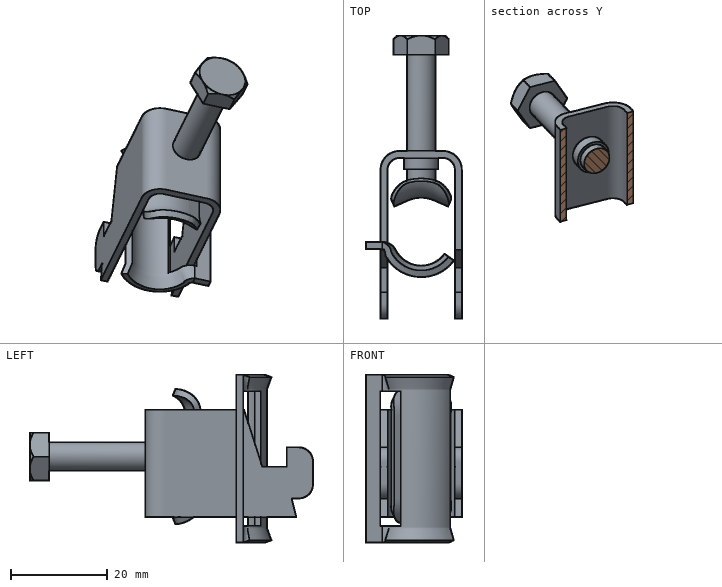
import cadquery as cq
import math


sheet = 1.5

bracket_width = 17.0
bracket_length = 35.0
bracket_top = 9.8
bracket_bottom = -12.6
back_bend_radius = 4.0
collar_diameter = 7.2
collar_height = 2.35
slope_start = 20.6
slope_end = 24.4
hook_start = 29.5
notch_floor = -2.1
hook_top = 1.95
hook_bottom = -8.75
hook_radius = 3.0
heel_top = 30.55
heel_bottom = 31.5

shank_diameter = 6.0
head_flats = 10.0
head_height = 4.0
head_end = 24.0

saddle_crest = -9.8
saddle_radius = 7.0
saddle_arc_angle = 24.0
saddle_wing = 3.0
saddle_straight_half = 8.9
curl_inner_radius = 4.1
curl_outer_radius = curl_inner_radius + sheet
curl_angle = 68.0
curl_axis_y = saddle_crest + curl_outer_radius
saddle_axis_y = saddle_crest - saddle_radius
corner_reach = 4.9
corner_start_angle = 16.0

jaw_center_y = -17.9
jaw_center_z = -0.45
jaw_inner_radius = 6.0
jaw_outer_radius = jaw_inner_radius + sheet
jaw_half_height = 17.5
jaw_right_angle = 54.0
jaw_left_angle = 63.0
window_angle = 35.0
window_half_height = 14.0
flare_angle = 20.0
flare_start = 14.27
flare_radius = 0.9
strip_edge_x = -11.5
strip_inner_x = -bracket_width / 2
neck_radius = 1.55
neck_axis_distance = jaw_outer_radius + neck_radius
neck_axis_x = -neck_axis_distance * math.sin(math.radians(jaw_left_angle))
neck_axis_y = -neck_axis_distance * math.cos(math.radians(jaw_left_angle))
strip_y = neck_axis_y + neck_radius


def bracket_block(half_width, back_y, corner_radius):
    """Block as tall as the bracket, with both rear corners rounded."""
    height = bracket_top - bracket_bottom
    block = cq.Workplane("XY").box(2 * half_width, bracket_length, height, centered=(True, False, False))
    block = block.edges("|Z and >Y").fillet(corner_radius)
    return block.translate((0, back_y - bracket_length, bracket_bottom))


def make_bracket():
    """U-bent sheet with hooked legs and a collar around the bolt hole."""
    half_width = bracket_width / 2
    outside = bracket_block(half_width, 0, back_bend_radius)
    inside = bracket_block(half_width - sheet, -sheet, back_bend_radius - sheet)
    leg_outline = (
        cq.Workplane("YZ")
        .moveTo(0, bracket_bottom)
        .lineTo(0, bracket_top)
        .lineTo(-slope_start, bracket_top)
        .lineTo(-slope_end, notch_floor)
        .lineTo(-hook_start, notch_floor)
        .lineTo(-hook_start, hook_top)
        .lineTo(-bracket_length + hook_radius, hook_top)
        .radiusArc((-bracket_length, hook_top - hook_radius), -hook_radius)
        .lineTo(-bracket_length, hook_bottom + hook_radius)
        .radiusArc((-bracket_length + hook_radius, hook_bottom), -hook_radius)
        .lineTo(-heel_top, hook_bottom)
        .lineTo(-heel_bottom, bracket_bottom)
        .close()
        .extrude(half_width, both=True)
    )
    collar = cq.Workplane("XZ").circle(collar_diameter / 2).extrude(sheet + collar_height)
    hole = cq.Workplane("XZ").circle(shank_diameter / 2).extrude(sheet + collar_height)
    return outside.cut(inside).intersect(leg_outline).union(collar).cut(hole)


def make_bolt():
    """Hexagon-head bolt whose flat tip rests on the crest of the saddle."""
    tip_y = saddle_crest + sheet
    head_base = head_end - head_height
    corner_radius = head_flats / math.sqrt(3)
    chamfer = corner_radius - head_flats / 2
    shank = cq.Workplane("XZ", origin=(0, head_base, 0)).circle(shank_diameter / 2).extrude(head_base - tip_y)
    head_plane = cq.Workplane("XZ", origin=(0, head_end, 0))
    hexagon = head_plane.polygon(6, 2 * corner_radius).extrude(head_height)
    turned = head_plane.circle(corner_radius).extrude(head_height).faces(">Y").chamfer(chamfer)
    return hexagon.intersect(turned).union(shank)


def curl_point(radius, degrees, end=1):
    """(Y, Z) of a point on the curl at the +Z end (end = 1) or the -Z end (end = -1)."""
    angle = math.radians(degrees)
    return curl_axis_y - radius * math.cos(angle), end * (saddle_straight_half + radius * math.sin(angle))


def saddle_profile():
    """Lengthwise section of the saddle: a straight middle between two curled ends."""
    half_curl = curl_angle / 2
    return (
        cq.Workplane("YZ")
        .moveTo(*curl_point(curl_outer_radius, 0, -1))
        .lineTo(*curl_point(curl_outer_radius, 0))
        .threePointArc(curl_point(curl_outer_radius, half_curl), curl_point(curl_outer_radius, curl_angle))
        .lineTo(*curl_point(curl_inner_radius, curl_angle))
        .threePointArc(curl_point(curl_inner_radius, half_curl), curl_point(curl_inner_radius, 0))
        .lineTo(*curl_point(curl_inner_radius, 0, -1))
        .threePointArc(
            curl_point(curl_inner_radius, half_curl, -1), curl_point(curl_inner_radius, curl_angle, -1)
        )
        .lineTo(*curl_point(curl_outer_radius, curl_angle, -1))
        .threePointArc(curl_point(curl_outer_radius, half_curl, -1), curl_point(curl_outer_radius, 0, -1))
        .close()
    )


def turn_about_saddle_axis(item, degrees):
    """Rotate a shape about the Z-parallel axis around which the saddle is bent."""
    return item.rotate(cq.Vector(0, saddle_axis_y, 0), cq.Vector(0, saddle_axis_y, 1), degrees)


def saddle_corner_waste():
    """Material outside the rounded corner at +X +Z; the cut stays square to the curled sheet.

    On the flattened sheet the corner is a quarter ellipse, followed by radial sections along the curl.
    """
    section_count = 9
    margin = 1.2
    section_length = 8.0
    inner = curl_inner_radius - margin
    outer = curl_outer_radius + margin
    sections = []
    for index in range(section_count):
        turn = math.radians(90) * index / (section_count - 1)
        angle = corner_start_angle + (curl_angle - corner_start_angle) * math.sin(turn)
        reach = saddle_wing - corner_reach * (1 - math.cos(turn))
        start = max(reach, 0)
        stop = start + section_length
        points = []
        for x, radius in ((start, inner), (stop, inner), (stop, outer), (start, outer)):
            points.append(cq.Vector(x, *curl_point(radius, angle)))
        bend_radius = curl_point(curl_outer_radius, angle)[0] - saddle_axis_y
        past_wing = math.degrees(max(-reach, 0) / bend_radius)
        section = cq.Wire.makePolygon(points, close=True)
        sections.append(turn_about_saddle_axis(section, past_wing - saddle_arc_angle))
    return cq.Workplane(cq.Solid.makeLoft(sections))


def make_saddle():
    """Curled sheet bent around the cable, with a flat wing on each side and four rounded corners."""
    middle = saddle_profile().revolve(2 * saddle_arc_angle, (saddle_axis_y, 0, 0), (saddle_axis_y, 1, 0))
    middle = turn_about_saddle_axis(middle, -saddle_arc_angle)
    wing = turn_about_saddle_axis(saddle_profile().extrude(saddle_wing), -saddle_arc_angle)
    body = middle.union(wing).union(wing.mirror("YZ"))
    right_corner = saddle_corner_waste()
    for corner in (right_corner, right_corner.mirror("YZ")):
        body = body.cut(corner).cut(corner.mirror("XY"))
    return body


def jaw_point(radius, degrees):
    """(X, Y) at a distance from the jaw axis, turned from -Y toward +X by the angle."""
    angle = math.radians(degrees)
    return radius * math.sin(angle), -radius * math.cos(angle)


def rim_section(tilt_degrees, place):
    """Outline of the sheet above the window, its top tilted outward.

    `place` maps (offset from the outer face, height) to a point in space.
    """
    tilt = math.radians(tilt_degrees)
    inner_bend = flare_radius + sheet
    lip_rise = jaw_half_height - flare_start - inner_bend * math.sin(tilt)
    lip_run = lip_rise * math.tan(tilt)

    def bend_point(radius, angle):
        return place(flare_radius - radius * math.cos(angle), flare_start + radius * math.sin(angle))

    def lip_point(radius):
        return place(
            flare_radius - radius * math.cos(tilt) + lip_run,
            flare_start + radius * math.sin(tilt) + lip_rise,
        )

    def bend(radius):
        points = [bend_point(radius, share * tilt) for share in (0, 0.5, 1)]
        return cq.Edge.makeThreePointArc(*points)

    outer_foot = place(0, window_half_height)
    inner_foot = place(-sheet, window_half_height)
    edges = [
        cq.Edge.makeLine(inner_foot, outer_foot),
        cq.Edge.makeLine(outer_foot, bend_point(flare_radius, 0)),
        bend(flare_radius),
        cq.Edge.makeLine(bend_point(flare_radius, tilt), lip_point(flare_radius)),
        cq.Edge.makeLine(lip_point(flare_radius), lip_point(inner_bend)),
        cq.Edge.makeLine(lip_point(inner_bend), bend_point(inner_bend, tilt)),
        bend(inner_bend),
        cq.Edge.makeLine(bend_point(inner_bend, 0), inner_foot),
    ]
    return cq.Wire.assembleEdges(edges)


def jaw_rim():
    """Flared edge of the jaw above the window, over the full arc."""

    def place(offset, height):
        return cq.Vector(*jaw_point(jaw_outer_radius + offset, -jaw_left_angle), height)

    section = rim_section(flare_angle, place)
    sweep = jaw_left_angle + jaw_right_angle
    return cq.Workplane(cq.Solid.revolve(section, [], sweep, cq.Vector(0, 0, 0), cq.Vector(0, 0, 1)))


def jaw_neck():
    """Bend above the window that leads from the upright strip to the tilted rim."""
    section_count = 5
    least_tilt = 0.04
    sections = []
    for index in range(section_count):
        share = index / (section_count - 1)
        turn = math.radians(jaw_left_angle * share)

        def place(offset, height):
            distance = neck_radius - offset
            return cq.Vector(
                neck_axis_x + distance * math.sin(turn), neck_axis_y + distance * math.cos(turn), height
            )

        sections.append(rim_section(max(flare_angle * share, least_tilt), place))
    return cq.Workplane(cq.Solid.makeLoft(sections))


def strip_bar(start_x, half_height):
    """Flat bar in the plane of the strip, from the given X to the start of the neck."""
    bar = cq.Workplane("XY").box(neck_axis_x - start_x, sheet, 2 * half_height, centered=(False, False, True))
    return bar.translate((start_x, strip_y, 0))


def make_jaw():
    """Curved wall with flared rims, joined by two necks to a flat strip.

    The window between the necks lets a bracket leg through.
    """
    wall = (
        cq.Workplane("XY", origin=(0, 0, -window_half_height))
        .moveTo(*jaw_point(jaw_inner_radius, -window_angle))
        .threePointArc(jaw_point(jaw_inner_radius, 0), jaw_point(jaw_inner_radius, jaw_right_angle))
        .lineTo(*jaw_point(jaw_outer_radius, jaw_right_angle))
        .threePointArc(jaw_point(jaw_outer_radius, 0), jaw_point(jaw_outer_radius, -window_angle))
        .close()
        .extrude(2 * window_half_height)
    )
    strip = strip_bar(strip_edge_x, jaw_half_height).cut(strip_bar(strip_inner_x, window_half_height))
    upper = jaw_rim().union(jaw_neck())
    body = wall.union(strip).union(upper).union(upper.mirror("XY"))
    return body.translate((0, jaw_center_y, jaw_center_z))


bracket = make_bracket()
bolt = make_bolt()
saddle = make_saddle()
jaw = make_jaw()
bodies = [*bracket.solids().vals(), *bolt.solids().vals(), *saddle.solids().vals(), *jaw.solids().vals()]
result = cq.Compound.makeCompound(bodies)